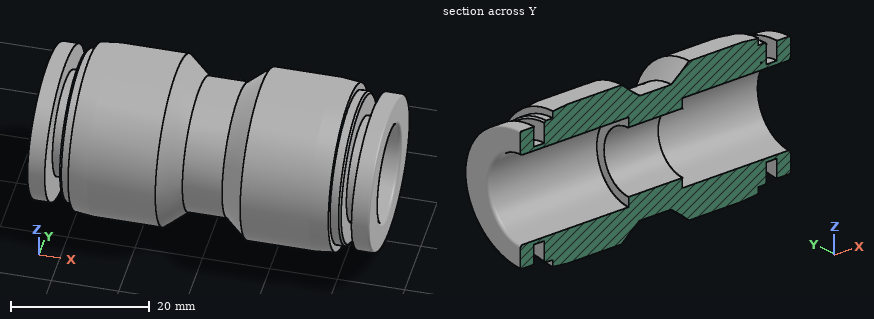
import cadquery as cq

length = 50.8
flange_end = 2.65
neck_end = 4.5
collar_end = 6.1
taper_end = 9.0
barrel_end = 19.1
cone_end = 22.45
socket_depth = 20.3

neck_diameter = 15.7
collar_diameter = 22.7
taper_diameter = 24.9
barrel_diameter = 25.5
waist_diameter = 20.0
socket_diameter = 14.3
bore_diameter = 11.0

flange_width = 25.05
flange_height = 22.05

flange_round = 0.3
collar_chamfer = 0.3
mouth_round = 0.55


def make_half_body():
    """Revolve the left half of the outside, from the flange to the middle of the waist."""
    neck_radius = neck_diameter / 2
    collar_radius = collar_diameter / 2
    barrel_radius = barrel_diameter / 2
    waist_radius = waist_diameter / 2
    middle = length / 2
    outline = [
        (flange_end, 0),
        (flange_end, neck_radius),
        (neck_end, neck_radius),
        (neck_end, collar_radius - collar_chamfer),
        (neck_end + collar_chamfer, collar_radius),
        (collar_end, collar_radius),
        (collar_end, taper_diameter / 2),
        (taper_end, barrel_radius),
        (barrel_end, barrel_radius),
        (cone_end, waist_radius),
        (middle, waist_radius),
        (middle, 0),
    ]
    return cq.Workplane("XY").polyline(outline).close().revolve(360, (0, 0, 0), (1, 0, 0))


def make_flange():
    """Elliptical flange, wider along Y, with its outer rim rounded."""
    flange = cq.Workplane("YZ").ellipse(flange_width / 2, flange_height / 2).extrude(flange_end)
    return flange.faces("<X").edges().fillet(flange_round)


def make_socket():
    """Blind tube socket with a rounded mouth, as a solid to cut away."""
    socket_radius = socket_diameter / 2
    mouth_radius = socket_radius + mouth_round
    arc_offset = mouth_round * (1 - 0.5 ** 0.5)
    return (
        cq.Workplane("XY")
        .lineTo(0, mouth_radius)
        .threePointArc((arc_offset, socket_radius + arc_offset), (mouth_round, socket_radius))
        .lineTo(socket_depth, socket_radius)
        .lineTo(socket_depth, 0)
        .close()
        .revolve(360, (0, 0, 0), (1, 0, 0))
    )


left_half = make_half_body().union(make_flange()).cut(make_socket())
right_half = left_half.mirror("YZ", (length / 2, 0, 0))
through_bore = cq.Workplane("YZ").circle(bore_diameter / 2).extrude(length)

result = left_half.union(right_half).cut(through_bore).translate((-length / 2, 0, 0))